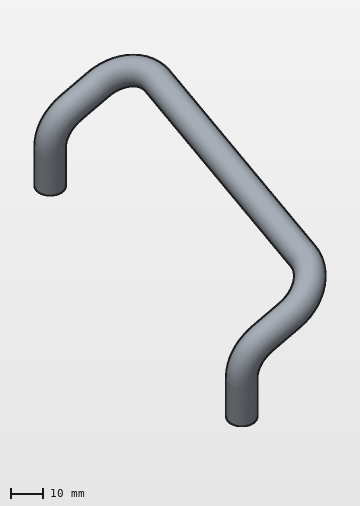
import cadquery as cq
import math

overall_length = 135.0
rod_diameter = 10.0
bend_radius = 15.0
foot_length = 16.0
reach = 30.0
lean_angle = 60.0

half_span = (overall_length - rod_diameter) / 2
lean = math.radians(lean_angle)
arm_direction = cq.Vector(0, math.sin(lean), math.cos(lean))

lower_bend_y = bend_radius * (1 - math.cos(lean))
lower_bend_z = foot_length + bend_radius * math.sin(lean)
arm_length = (reach - lower_bend_y) / math.sin(lean)
straight_arm_length = arm_length - bend_radius


def side_points(side):
    """Centreline junctions from foot to grip bar; side is -1 (left) or 1 (right)."""
    x = side * half_span
    foot = cq.Vector(x, 0, 0)
    lower_bend_start = cq.Vector(x, 0, foot_length)
    arm_start = cq.Vector(x, lower_bend_y, lower_bend_z)
    arm_end = arm_start + arm_direction * straight_arm_length
    grip_end = arm_end + arm_direction * bend_radius - cq.Vector(side * bend_radius, 0, 0)
    return foot, lower_bend_start, arm_start, arm_end, grip_end


def side_edges(side):
    """Foot, lower bend, arm and upper bend of one side."""
    foot, lower_bend_start, arm_start, arm_end, grip_end = side_points(side)
    return [
        cq.Edge.makeLine(foot, lower_bend_start),
        cq.Edge.makeTangentArc(lower_bend_start, cq.Vector(0, 0, 1), arm_start),
        cq.Edge.makeLine(arm_start, arm_end),
        cq.Edge.makeTangentArc(arm_end, arm_direction, grip_end),
    ]


grip = cq.Edge.makeLine(side_points(-1)[-1], side_points(1)[-1])
centreline = cq.Wire.assembleEdges(side_edges(-1) + [grip] + side_edges(1)[::-1])

result = (
    cq.Workplane("XY")
    .center(-half_span, 0)
    .circle(rod_diameter / 2)
    .sweep(cq.Workplane(centreline))
)